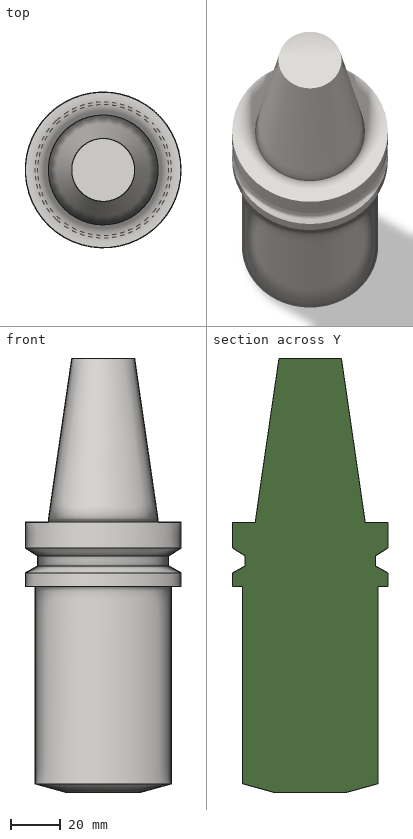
import cadquery as cq

total_height = 175.4
nose_height = 3.5
flange_bottom = 83.1
lower_rim_top = 88.8
groove_bottom = 91.5
groove_top = 95.6
upper_rim_bottom = 98.8
flange_top = 109.3
taper_bottom = 110.2

nose_diameter = 29.6
body_diameter = 55.0
flange_diameter = 63.0
groove_diameter = 53.0
taper_large_diameter = 44.4
taper_small_diameter = 25.5


def disc(diameter, bottom, top):
    """Cylinder on the Z axis between two levels."""
    return cq.Workplane("XY").workplane(offset=bottom).circle(diameter / 2).extrude(top - bottom)


def cone(bottom_diameter, top_diameter, bottom, top):
    """Truncated cone on the Z axis between two levels."""
    base = cq.Workplane("XY").workplane(offset=bottom).circle(bottom_diameter / 2)
    return base.workplane(offset=top - bottom).circle(top_diameter / 2).loft(ruled=True)


nose = cone(nose_diameter, body_diameter, 0, nose_height)
body = disc(body_diameter, nose_height, flange_bottom)

lower_rim = disc(flange_diameter, flange_bottom, lower_rim_top)
lower_groove_side = cone(flange_diameter, groove_diameter, lower_rim_top, groove_bottom)
groove_floor = disc(groove_diameter, groove_bottom, groove_top)
upper_groove_side = cone(groove_diameter, flange_diameter, groove_top, upper_rim_bottom)
upper_rim = disc(flange_diameter, upper_rim_bottom, flange_top)
flange = (
    lower_rim.union(lower_groove_side)
    .union(groove_floor)
    .union(upper_groove_side)
    .union(upper_rim)
)

collar = disc(taper_large_diameter, flange_top, taper_bottom)
taper = cone(taper_large_diameter, taper_small_diameter, taper_bottom, total_height)

result = nose.union(body).union(flange).union(collar).union(taper)